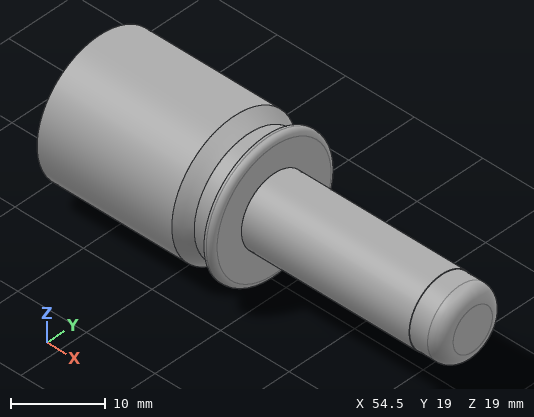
import cadquery as cq

head_end = 19.7
neck_start = 21.75
flange_start = 24.35
flange_end = 25.5
shank_end = 50.0
total_length = 54.5

head_radius = 19.0 / 2
neck_radius = 16.5 / 2
shank_radius = 10.0 / 2
tip_radius = 9.8 / 2
tip_rounding = 1.9
flange_rounding = 0.8


def turned_section(start, end, radius):
    """Solid cylinder around X between two stations."""
    return cq.Workplane("YZ", origin=(start, 0, 0)).circle(radius).extrude(end - start)


head = turned_section(0, head_end, head_radius)
cone = (
    cq.Workplane("XY")
    .moveTo(head_end, 0)
    .lineTo(head_end, head_radius)
    .lineTo(neck_start, neck_radius)
    .lineTo(neck_start, 0)
    .close()
    .revolve(360, (0, 0, 0), (1, 0, 0))
)
neck = turned_section(neck_start, flange_start, neck_radius)

flange = turned_section(flange_start, flange_end, head_radius).faces(">X").edges().fillet(flange_rounding)

shank = turned_section(flange_end, shank_end, shank_radius)
tip = turned_section(shank_end, total_length, tip_radius).faces(">X").edges().fillet(tip_rounding)

result = head.union(cone).union(neck).union(flange).union(shank).union(tip)